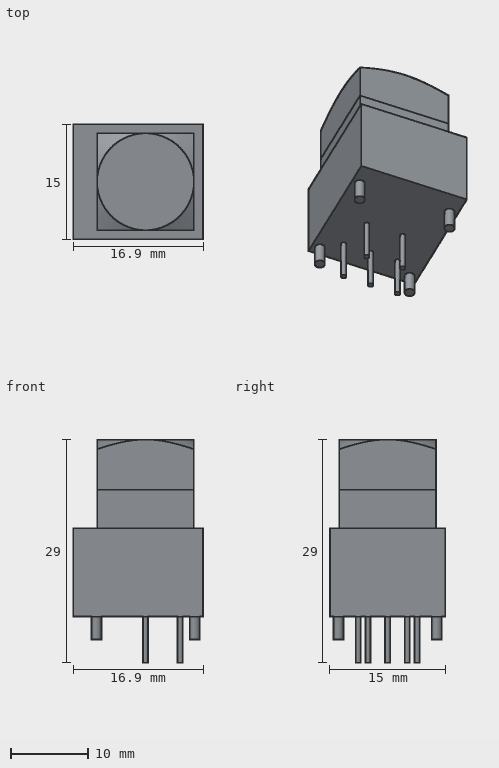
import cadquery as cq
import math

HOUSING_LENGTH = 16.9
HOUSING_WIDTH = 15.0
HOUSING_HEIGHT = 11.5

ACTUATOR_SIDE = 12.6
ACTUATOR_X = 0.95
PLUNGER_HEIGHT = 5.0
CAP_HEIGHT = 6.5
CAP_CORNER_DROP = 1.25

POST_DIAMETER = 1.33
POST_LENGTH = 3.0
POST_OFFSET = 6.38

PIN_DIAMETER = 0.7
PIN_LENGTH = 6.0
PAIR_OFFSET_Y = 2.55
ROW_OFFSET_X = 4.5
ROW_OFFSET_Y = 3.83

CAP_BOTTOM = HOUSING_HEIGHT + PLUNGER_HEIGHT
CAP_INRADIUS = ACTUATOR_SIDE / 2
CAP_CORNER_RADIUS = CAP_INRADIUS * math.sqrt(2)
ROW_X = ACTUATOR_X + ROW_OFFSET_X
POST_POINTS = [
    (ACTUATOR_X + side_x * POST_OFFSET, side_y * POST_OFFSET)
    for side_x in (-1, 1)
    for side_y in (-1, 1)
]
PIN_POINTS = [(ACTUATOR_X, side * PAIR_OFFSET_Y) for side in (-1, 1)]
PIN_POINTS += [(ROW_X, step * ROW_OFFSET_Y) for step in (-1, 0, 1)]


def square_block(bottom, height):
    """Square block on the actuator axis."""
    return (
        cq.Workplane("XY", origin=(ACTUATOR_X, 0, bottom))
        .rect(ACTUATOR_SIDE, ACTUATOR_SIDE)
        .extrude(height)
    )


def round_legs(points, diameter, length):
    """Round legs hanging from the underside of the housing."""
    return cq.Workplane("XY").pushPoints(points).circle(diameter / 2).extrude(-length)


def make_housing():
    """Housing block with its plunger, mounting posts and terminal pins."""
    block = cq.Workplane("XY").rect(HOUSING_LENGTH, HOUSING_WIDTH).extrude(HOUSING_HEIGHT)
    return (
        block.union(square_block(HOUSING_HEIGHT, PLUNGER_HEIGHT))
        .union(round_legs(POST_POINTS, POST_DIAMETER, POST_LENGTH))
        .union(round_legs(PIN_POINTS, PIN_DIAMETER, PIN_LENGTH))
    )


def make_cap():
    """Square cap whose top corners are turned down conically around a flat circle."""
    shoulder = CAP_HEIGHT - CAP_CORNER_DROP
    turned_envelope = (
        cq.Workplane("XZ", origin=(ACTUATOR_X, 0, CAP_BOTTOM))
        .moveTo(0, 0)
        .lineTo(CAP_CORNER_RADIUS, 0)
        .lineTo(CAP_CORNER_RADIUS, shoulder)
        .lineTo(CAP_INRADIUS, CAP_HEIGHT)
        .lineTo(0, CAP_HEIGHT)
        .close()
        .revolve(360, (0, 0, 0), (0, 1, 0))
    )
    return square_block(CAP_BOTTOM, CAP_HEIGHT).intersect(turned_envelope)


housing = make_housing()
cap = make_cap()

result = cq.Compound.makeCompound([housing.solids().val(), cap.solids().val()])